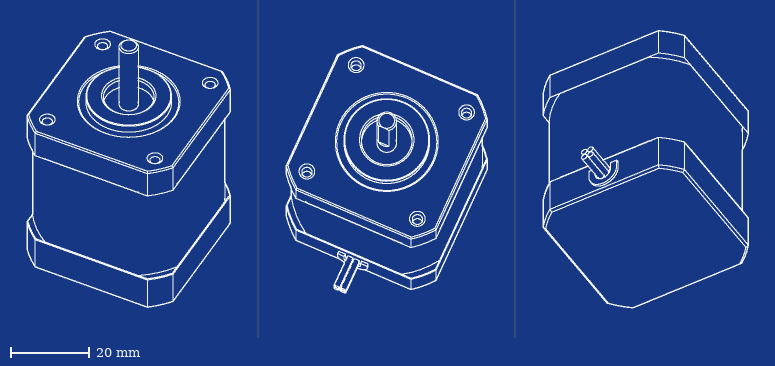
import cadquery as cq

total_height = 69.0
motor_width = 42.0
overall_depth = 50.6
half_width = motor_width / 2
tool_clearance = 0.7

base_height = 10.6
body_height = 29.95
cap_height = 8.4
cap_bottom = base_height + body_height
cap_top = cap_bottom + cap_height
end_corner_radius = 26.5
base_bottom_chamfer = 0.6
base_top_chamfer = 0.2
cap_top_chamfer = 0.4

body_inset = 0.1
body_corner_radius = 24.8
body_edge_fillet = 1.0

recess_radius = 13.2
recess_depth = 0.35
boss_radius = 11.0
boss_height = 2.0
boss_chamfer = 0.2
boss_top = cap_top + boss_height
bore_radius = 6.5
bore_depth = 3.05
bore_chamfer = 0.5

shaft_radius = 2.5
shaft_chamfer = 0.5
flat_depth = 0.5
flat_length = 15.45

hole_spacing = 31.0
hole_radius = 1.3
hole_depth = 4.5
hole_mouth_radius = 2.0

cable_z = 5.6
guard_radius = 4.15
guard_slot_radius = 2.3
guard_rise = 2.1
guard_thickness = 0.7
wire_diameter = 1.6
wire_pitch = 1.8
wire_length = overall_depth - motor_width
wire_embed = 0.7


def cylinder(radius, bottom, top):
    """Upright cylinder on the Z axis."""
    return cq.Workplane("XY").workplane(offset=bottom).circle(radius).extrude(top - bottom)


def round_cornered_block(width, corner_radius, bottom, height):
    """Square block whose four corners are trimmed by a cylinder on the Z axis."""
    block = cq.Workplane("XY").workplane(offset=bottom).rect(width, width).extrude(height)
    return block.intersect(cylinder(corner_radius, bottom, bottom + height))


def make_housing():
    base = round_cornered_block(motor_width, end_corner_radius, 0, base_height)
    base = base.faces("<Z").chamfer(base_bottom_chamfer)
    base = base.faces(">Z").chamfer(base_top_chamfer)

    body_width = motor_width - 2 * body_inset
    body = round_cornered_block(body_width, body_corner_radius, base_height, body_height)
    body = body.edges("|Z").fillet(body_edge_fillet)

    cap = round_cornered_block(motor_width, end_corner_radius, cap_bottom, cap_height)
    cap = cap.faces(">Z").chamfer(cap_top_chamfer)
    return base.union(body).union(cap)


def countersink(bottom_radius, top_radius, top):
    """45 degree conical cutter on the Z axis that opens upwards and ends at the given top."""
    depth = top_radius - bottom_radius
    cone = cq.Solid.makeCone(bottom_radius, top_radius, depth, pnt=cq.Vector(0, 0, top - depth))
    return cq.Workplane(cone)


def make_boss():
    return cylinder(boss_radius, cap_top - recess_depth, boss_top).faces(">Z").chamfer(boss_chamfer)


def make_bore():
    bore = cylinder(bore_radius, boss_top - bore_depth, boss_top)
    return bore.union(countersink(bore_radius, bore_radius + bore_chamfer, boss_top))


def make_shaft():
    shaft = cylinder(shaft_radius, boss_top - bore_depth, total_height).faces(">Z").chamfer(shaft_chamfer)
    flat_tool = cq.Workplane("XY").box(
        2 * shaft_radius, shaft_radius, flat_length + tool_clearance, centered=(True, False, False)
    )
    return shaft.cut(flat_tool.translate((0, shaft_radius - flat_depth, total_height - flat_length)))


def make_mounting_holes():
    hole = cylinder(hole_radius, cap_top - hole_depth, cap_top)
    hole = hole.union(countersink(hole_radius, hole_mouth_radius, cap_top))
    holes = cq.Workplane("XY")
    for x_side in (-1, 1):
        for y_side in (-1, 1):
            holes = holes.add(hole.translate((x_side * hole_spacing / 2, y_side * hole_spacing / 2, 0)))
    return holes.combine()


def u_outline(radius, rise):
    """Closed U on the base's +Y side: half round below the cable axis, straight sides above it."""
    side = cq.Workplane("XZ", origin=(0, half_width, cable_z))
    return (
        side.moveTo(-radius, rise)
        .lineTo(-radius, 0)
        .threePointArc((0, -radius), (radius, 0))
        .lineTo(radius, rise)
        .close()
    )


def make_cable_guard():
    guard = u_outline(guard_radius, guard_rise).extrude(-guard_thickness)
    slot = u_outline(guard_slot_radius, guard_rise + tool_clearance).extrude(-guard_thickness)
    return guard.cut(slot)


def make_wires():
    return (
        cq.Workplane("XZ", origin=(0, half_width - wire_embed, cable_z))
        .rarray(wire_pitch, wire_pitch, 2, 2)
        .circle(wire_diameter / 2)
        .extrude(-(wire_length + wire_embed))
    )


recess = countersink(recess_radius - recess_depth, recess_radius, cap_top)
housing = make_housing().cut(recess).cut(make_mounting_holes())
result = housing.union(make_boss()).cut(make_bore()).union(make_shaft())
result = result.union(make_cable_guard()).union(make_wires())